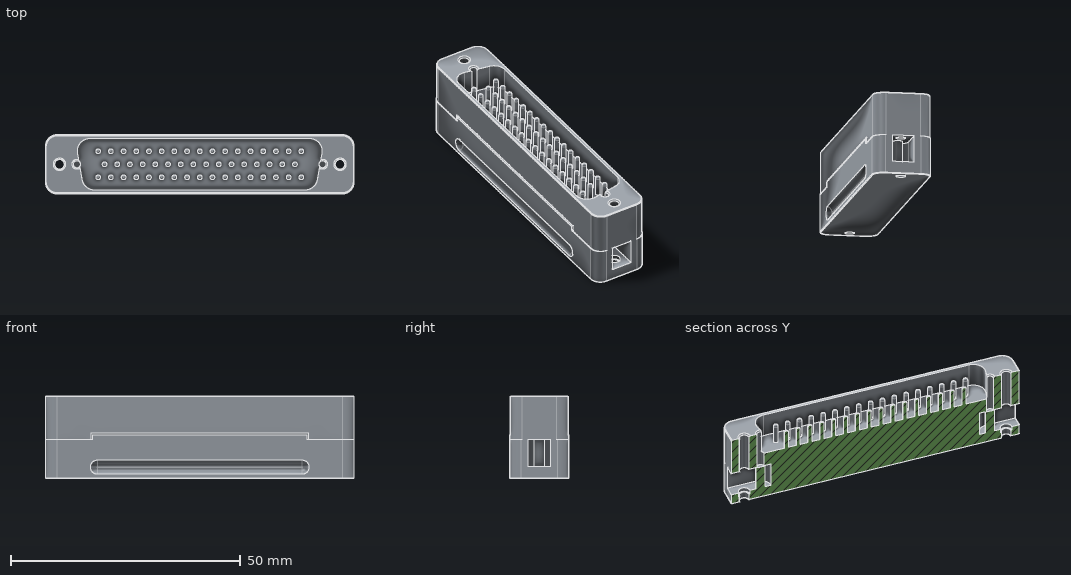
import cadquery as cq
import math

LENGTH = 67.31
WIDTH = 12.95
HEIGHT = 18.03
SPLIT_Z = 8.53
UPPER_WIDTH = 12.7
CORNER_RADIUS = 2.54
EDGE_CHAMFER = 0.15

NOTCH_LENGTH = 47.4
NOTCH_TOP_Z = 9.9
TONGUE_GAP = 0.35
NOTCH_DEPTH = 0.5

GROOVE_LENGTH = 47.75
GROOVE_HEIGHT = 3.05
GROOVE_Z = 2.5
GROOVE_DEPTH = 1.02
GROOVE_FLOOR_HEIGHT = 0.15

POCKET_FLOOR_Z = 12.2
POCKET_WIDTH = 11.2
POCKET_MID_HALF_LENGTH = 26.25
POCKET_SIDE_ANGLE = 10.0
POCKET_CORNER_RADIUS = 2.7

PIN_ROWS = ((17, 1), (16, 0), (17, -1))
PIN_PITCH = 2.77
PIN_ROW_PITCH = 2.84
PIN_DIAMETER = 1.02
PIN_TIP_Z = 16.9
PIN_TIP_FILLET = 0.45

THROUGH_HOLE_X = 30.6
THROUGH_HOLE_DIAMETER = 2.1
SCREW_SEAT_DIAMETER = 2.6
SCREW_SEAT_DEPTH = 1.0
BLIND_HOLE_X = 26.8
BLIND_HOLE_DIAMETER = 1.55
BLIND_HOLE_FLOOR_Z = SPLIT_Z
HOLE_CHAMFER = 0.3

WINDOW_WIDTH = 4.8
WINDOW_FLOOR_Z = 2.67
POST_DIAMETER = 2.2

SIDES = (-1, 1)


def rounded_block(width, bottom_z, top_z):
    """Block of full length with rounded vertical corners."""
    block = cq.Workplane("XY", origin=(0, 0, bottom_z)).rect(LENGTH, width).extrude(top_z - bottom_z)
    return block.edges("|Z").fillet(CORNER_RADIUS)


def make_housing():
    """Both halves, with the outer top and bottom rims chamfered."""
    lower = rounded_block(WIDTH, 0, SPLIT_Z).faces("<Z").edges().chamfer(EDGE_CHAMFER)
    upper = rounded_block(UPPER_WIDTH, SPLIT_Z, HEIGHT).faces(">Z").edges().chamfer(EDGE_CHAMFER)
    return lower.union(upper)


def side_bar(length, bottom_z, top_z, inner_y, outer_y, side):
    """Bar centred in X between two distances from the mid plane of one long side."""
    bar = cq.Workplane("XY").box(length, outer_y - inner_y, top_z - bottom_z, centered=(True, False, False))
    bar = bar.translate((0, inner_y, bottom_z))
    return bar if side > 0 else bar.mirror("XZ")


def cut_notch_and_add_tongue(body, side):
    """Narrow gap left between the notch in the upper half and the tongue in it."""
    inner_y = UPPER_WIDTH / 2 - NOTCH_DEPTH
    notch = side_bar(NOTCH_LENGTH, SPLIT_Z, NOTCH_TOP_Z, inner_y, WIDTH / 2, side)
    tongue_length = NOTCH_LENGTH - 2 * TONGUE_GAP
    tongue = side_bar(tongue_length, SPLIT_Z, NOTCH_TOP_Z - TONGUE_GAP, inner_y, WIDTH / 2, side)
    return body.cut(notch).union(tongue)


def make_groove(side):
    """Groove cutter: curved walls on either side of a narrow floor, turned round at both ends."""
    rim = GROOVE_HEIGHT / 2
    floor = GROOVE_FLOOR_HEIGHT / 2
    wall_run = rim - floor
    wall_radius = (GROOVE_DEPTH**2 + wall_run**2) / (2 * GROOVE_DEPTH)
    wall_angle = math.asin(wall_run / wall_radius) / 2
    mid_height = floor + wall_radius * math.sin(wall_angle)
    mid_depth = GROOVE_DEPTH - wall_radius * (1 - math.cos(wall_angle))
    straight_length = GROOVE_LENGTH - GROOVE_HEIGHT

    section = (
        cq.Workplane("YZ", origin=(-straight_length / 2, 0, 0))
        .moveTo(0, -rim)
        .threePointArc((-mid_depth, -mid_height), (-GROOVE_DEPTH, -floor))
        .lineTo(-GROOVE_DEPTH, floor)
        .threePointArc((-mid_depth, mid_height), (0, rim))
        .close()
    )
    groove = section.extrude(straight_length)
    end_bowl = (
        cq.Workplane("YZ")
        .lineTo(-GROOVE_DEPTH, 0)
        .lineTo(-GROOVE_DEPTH, floor)
        .threePointArc((-mid_depth, mid_height), (0, rim))
        .close()
        .revolve(360, (0, 0, 0), (1, 0, 0))
    )
    for end_side in SIDES:
        groove = groove.union(end_bowl.translate((end_side * straight_length / 2, 0, 0)))
    groove = groove.translate((0, WIDTH / 2, GROOVE_Z))
    return groove if side > 0 else groove.mirror("XZ")


def make_pocket():
    """D-shaped pocket cutter, longer on its +Y side."""
    half_width = POCKET_WIDTH / 2
    slant = half_width * math.tan(math.radians(POCKET_SIDE_ANGLE))
    long_half = POCKET_MID_HALF_LENGTH + slant
    short_half = POCKET_MID_HALF_LENGTH - slant
    outline = [
        (-long_half, half_width),
        (long_half, half_width),
        (short_half, -half_width),
        (-short_half, -half_width),
    ]
    pocket = cq.Workplane("XY", origin=(0, 0, POCKET_FLOOR_Z)).polyline(outline).close()
    return pocket.extrude(HEIGHT - POCKET_FLOOR_Z).edges("|Z").fillet(POCKET_CORNER_RADIUS)


def make_hole(x, diameter, bottom_z):
    """Vertical hole cutter reaching from bottom_z to the top face, with a chamfered mouth."""
    radius = diameter / 2
    mouth_radius = radius + HOLE_CHAMFER
    profile = [
        (0, bottom_z),
        (radius, bottom_z),
        (radius, HEIGHT - HOLE_CHAMFER),
        (mouth_radius, HEIGHT),
        (0, HEIGHT),
    ]
    hole = cq.Workplane("XZ").polyline(profile).close().revolve(360, (0, 0, 0), (0, 1, 0))
    return hole.translate((x, 0, 0))


def make_window(side):
    """End window cutter with a round inner end and a post left standing in it."""
    height = SPLIT_Z - WINDOW_FLOOR_Z
    floor = cq.Workplane("XY", origin=(0, 0, WINDOW_FLOOR_Z))
    run = LENGTH / 2 - BLIND_HOLE_X
    window = floor.center(side * (BLIND_HOLE_X + run / 2), 0).rect(run, WINDOW_WIDTH).extrude(height)
    post_centre = floor.center(side * BLIND_HOLE_X, 0)
    window = window.union(post_centre.circle(WINDOW_WIDTH / 2).extrude(height))
    return window.cut(post_centre.circle(POST_DIAMETER / 2).extrude(height))


def make_screw_seat(side):
    """Counterbore cutter in the window floor around the through hole."""
    seat = cq.Workplane("XY", origin=(side * THROUGH_HOLE_X, 0, WINDOW_FLOOR_Z - SCREW_SEAT_DEPTH))
    return seat.circle(SCREW_SEAT_DIAMETER / 2).extrude(SCREW_SEAT_DEPTH)


def make_pins():
    """All contact pins, standing on the pocket floor."""
    points = []
    for count, row in PIN_ROWS:
        first_x = -(count - 1) * PIN_PITCH / 2
        for index in range(count):
            points.append((first_x + index * PIN_PITCH, row * PIN_ROW_PITCH))
    pins = cq.Workplane("XY", origin=(0, 0, POCKET_FLOOR_Z)).pushPoints(points)
    pins = pins.circle(PIN_DIAMETER / 2).extrude(PIN_TIP_Z - POCKET_FLOOR_Z)
    return pins.faces(">Z").edges().fillet(PIN_TIP_FILLET)


result = make_housing()
for long_side in SIDES:
    result = cut_notch_and_add_tongue(result, long_side)
    result = result.cut(make_groove(long_side))
result = result.cut(make_pocket())
for end_side in SIDES:
    result = result.cut(make_window(end_side))
    result = result.cut(make_screw_seat(end_side))
    result = result.cut(make_hole(end_side * THROUGH_HOLE_X, THROUGH_HOLE_DIAMETER, 0))
    result = result.cut(make_hole(end_side * BLIND_HOLE_X, BLIND_HOLE_DIAMETER, BLIND_HOLE_FLOOR_Z))
result = result.union(make_pins())